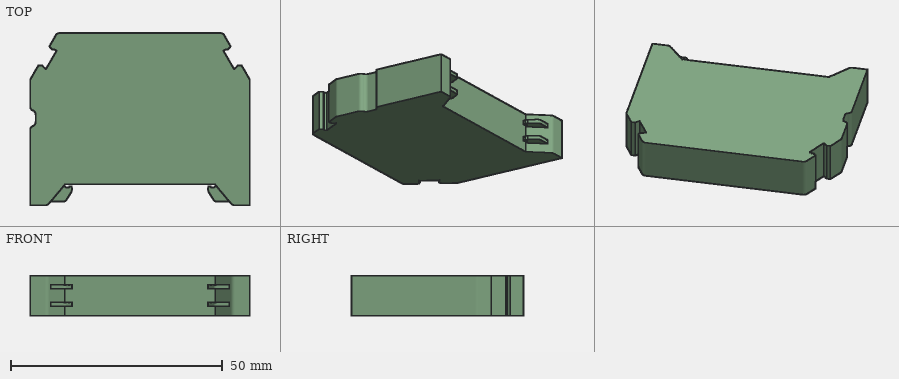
import cadquery as cq
import math

width = 52.0
height = 40.75
thickness = 9.5
left = -width / 2

shoulder_angle = 60.0
shoulder_drop = 11.1
shoulder_rise = math.tan(math.radians(shoulder_angle))
shoulder_base_y = height - shoulder_drop
corner_radius = 1.15

channel_shift = 2.3
ledge_y = height - 7.7
ledge_inner_x = left + 2.85
channel_low_y = height - 8.6
channel_high_y = height - 4.2
lip_top_y = height - 3.15
lip_bottom = (left + 5.2, height - 3.95)
lip_crest = (left + 5.6, height - 3.9)

recess_depth = 4.95
recess_x = left + 8.25
recess_wall_angle = 50.0
recess_wall_rise = math.tan(math.radians(recess_wall_angle))
foot_radius = 1.15

notch_y = height - 20.2
notch_depth = 1.3
notch_mouth = 5.5
notch_floor = 1.85

hook_thickness = 0.95
hook_margin = 2.25
hook_bottom_y = 0.9
hook_corner_x = left + 8.35
hook_tip_base = (left + 9.85, 3.2)
hook_tip_end = (left + 10.0, 3.9)
hook_tip_top = (left + 9.85, 4.5)
hook_groove_outer = (left + 9.25, 4.45)
hook_groove_y = 4.25
hook_groove_x = (left + 9.15, left + 8.5)
hook_root_y = 4.7
hook_root_length = 1.55
hook_radius = 0.85


def shoulder_x(y):
    """X of the left shoulder slope at height y."""
    return left + (y - shoulder_base_y) / shoulder_rise


def recess_wall_x(y):
    """X of the left recess wall at height y."""
    return recess_x - (recess_depth - y) / recess_wall_rise


def round_upright_edge(solid, x, y, radius):
    """Round the Z-parallel edge passing through (x, y)."""
    edge = cq.selectors.NearestToPointSelector((x, y, thickness / 2))
    return solid.edges("|Z").edges(edge).fillet(radius)


def with_mirror(solid):
    """Join a left-hand solid with its right-hand twin."""
    return solid.union(solid.mirror("YZ"))


def half_body():
    outline = [
        (0, height),
        (shoulder_x(height), height),
        (shoulder_x(lip_top_y), lip_top_y),
        lip_bottom,
        lip_crest,
        (shoulder_x(channel_high_y) + channel_shift, channel_high_y),
        (shoulder_x(channel_low_y) + channel_shift, channel_low_y),
        (ledge_inner_x, ledge_y),
        (shoulder_x(ledge_y), ledge_y),
        (left, shoulder_base_y),
        (left, 0),
        (recess_wall_x(0), 0),
        (recess_x, recess_depth),
        (0, recess_depth),
    ]
    body = cq.Workplane("XY").polyline(outline).close().extrude(thickness)
    body = round_upright_edge(body, shoulder_x(height), height, corner_radius)
    body = round_upright_edge(body, left, shoulder_base_y, corner_radius)
    return round_upright_edge(body, recess_wall_x(0), 0, foot_radius)


def hook(z):
    """Left hook with its underside at z; its root lies inside the body."""
    outline = [
        (recess_wall_x(hook_bottom_y), hook_bottom_y),
        (hook_corner_x, hook_bottom_y),
        hook_tip_base,
        hook_tip_end,
        hook_tip_top,
        hook_groove_outer,
        (hook_groove_x[0], hook_groove_y),
        (hook_groove_x[1], hook_groove_y),
        (recess_wall_x(hook_root_y), hook_root_y),
        (recess_wall_x(hook_root_y) - hook_root_length, hook_root_y),
    ]
    blade = cq.Workplane("XY").workplane(offset=z).polyline(outline).close().extrude(hook_thickness)
    return round_upright_edge(blade, hook_corner_x, hook_bottom_y, hook_radius)


def side_notch():
    """Cutter whose sides are S-curves, tangent to the edge and to the floor."""
    mouth_y = notch_mouth / 2
    floor_y = notch_floor / 2
    sweep = 2 * math.atan2(notch_depth, mouth_y - floor_y)
    radius = notch_depth / 2 / (1 - math.cos(sweep))
    middle = (notch_depth / 2, (mouth_y + floor_y) / 2)
    half_sweep_x = radius * (1 - math.cos(sweep / 2))
    half_sweep_y = radius * math.sin(sweep / 2)
    mouth_arc = (half_sweep_x, mouth_y - half_sweep_y)
    floor_arc = (notch_depth - half_sweep_x, floor_y + half_sweep_y)

    def below(point):
        return (point[0], -point[1])

    return (
        cq.Workplane("XY", origin=(left, notch_y, 0))
        .moveTo(0, mouth_y)
        .threePointArc(mouth_arc, middle)
        .threePointArc(floor_arc, (notch_depth, floor_y))
        .lineTo(notch_depth, -floor_y)
        .threePointArc(below(floor_arc), below(middle))
        .threePointArc(below(mouth_arc), (0, -mouth_y))
        .close()
        .extrude(thickness)
    )


body = with_mirror(half_body()).cut(side_notch())
for hook_z in (hook_margin, thickness - hook_margin - hook_thickness):
    body = body.union(with_mirror(hook(hook_z)))

result = body.clean()